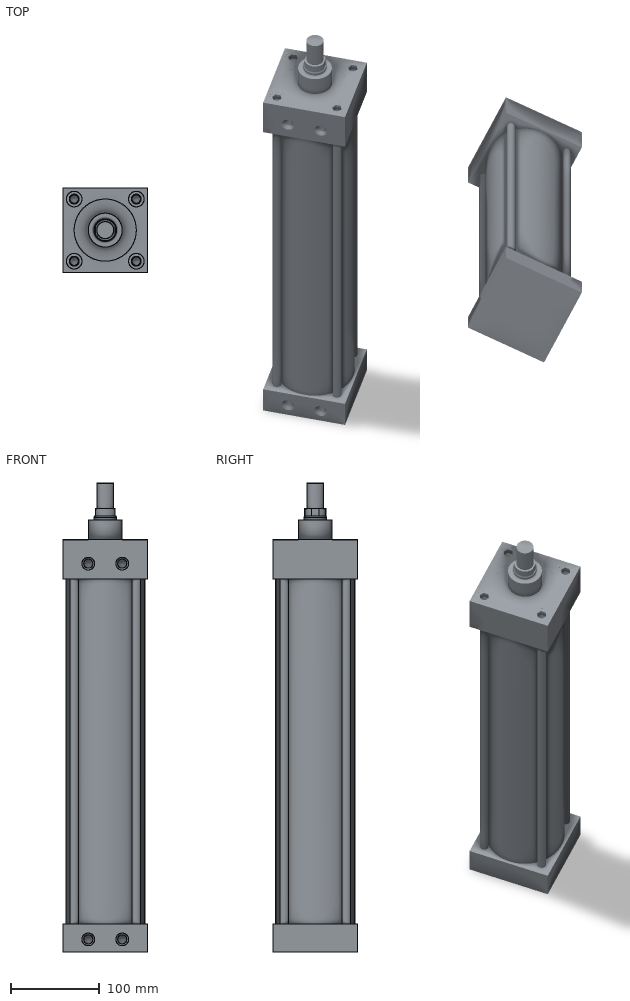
import cadquery as cq
import math

cap_width = 95.25
rear_cap_height = 31.75
barrel_length = 387.35
head_height = 44.45
boss_height = 22.225

barrel_diameter = 88.9
boss_diameter = 38.1
retainer_diameter = 69.85
retainer_recess = 0.1

tie_rod_spacing = 69.85
tie_rod_diameter = 9.525
screw_head_diameter = 17.5
screw_head_recess = 0.1
hex_across_flats = 9.525
hex_depth = 6.35
hex_countersink_angle = 120

port_spacing = 38.1
port_diameter = 14.3
port_drill_diameter = 10.3
port_depth = 12.7
port_countersink_angle = 90
drill_point_angle = 118
rear_port_height = 14.3
head_port_height = 17.5

rod_diameter = 25.4
rod_projection = 12.7
rod_embedded_length = head_height + boss_height
thread_diameter = 19.05
thread_length = 28.575
flat_spacing = 22.225
neck_diameter = 23.8125
neck_length = 8.6
rod_chamfer_height = 1.4

head_bottom = rear_cap_height + barrel_length
head_top = head_bottom + head_height
boss_top = head_top + boss_height
shoulder_top = boss_top + rod_projection


def cylinder(diameter, bottom, height):
    return cq.Workplane("XY").workplane(offset=bottom).circle(diameter / 2).extrude(height)


def square_block(bottom, height):
    return cq.Workplane("XY").workplane(offset=bottom).rect(cap_width, cap_width).extrude(height)


def cone_height(diameter, included_angle):
    return diameter / 2 / math.tan(math.radians(included_angle / 2))


def port(x, z):
    """Countersunk, drilled port with a conical end, entering from the -Y side."""
    countersink_depth = cone_height(port_diameter - port_drill_diameter, port_countersink_angle)
    profile = (
        cq.Workplane("XY")
        .moveTo(0, 0)
        .lineTo(port_diameter / 2, 0)
        .lineTo(port_drill_diameter / 2, countersink_depth)
        .lineTo(port_drill_diameter / 2, port_depth)
        .lineTo(0, port_depth + cone_height(port_drill_diameter, drill_point_angle))
        .close()
    )
    drill = profile.revolve(360, (0, 0, 0), (0, 1, 0))
    return drill.translate((x, -cap_width / 2, z))


def drill_cone(diameter, included_angle, top):
    """Cone pointing down from its base circle at the given level."""
    height = cone_height(diameter, included_angle)
    base_center = cq.Vector(0, 0, top)
    downward = cq.Vector(0, 0, -1)
    return cq.Workplane(cq.Solid.makeCone(diameter / 2, 0, height, base_center, downward))


def screw_recess(x, y):
    """Shallow round recess over a screw head, with a countersunk hex socket that ends in a drill point."""
    head_level = head_top - screw_head_recess
    socket_bottom = head_level - hex_depth
    hex_across_corners = hex_across_flats / math.cos(math.pi / 6)
    recess = cylinder(screw_head_diameter, head_level, screw_head_recess)
    socket = (
        cq.Workplane("XY")
        .workplane(offset=socket_bottom)
        .polygon(6, hex_across_corners)
        .extrude(hex_depth)
    )
    countersink = drill_cone(hex_across_corners, hex_countersink_angle, head_level)
    point = drill_cone(hex_across_flats, drill_point_angle, socket_bottom)
    return recess.union(socket).union(countersink).union(point).translate((x, y, 0))


def tie_rods():
    return (
        cq.Workplane("XY")
        .workplane(offset=rear_cap_height)
        .rect(tie_rod_spacing, tie_rod_spacing, forConstruction=True)
        .vertices()
        .circle(tie_rod_diameter / 2)
        .extrude(barrel_length)
    )


def make_housing():
    housing = square_block(0, rear_cap_height)
    housing = housing.union(cylinder(barrel_diameter, rear_cap_height, barrel_length))
    housing = housing.union(tie_rods())
    housing = housing.union(square_block(head_bottom, head_height))
    for x in (-tie_rod_spacing / 2, tie_rod_spacing / 2):
        for y in (-tie_rod_spacing / 2, tie_rod_spacing / 2):
            housing = housing.cut(screw_recess(x, y))
    housing = housing.cut(cylinder(retainer_diameter, head_top - retainer_recess, retainer_recess))
    housing = housing.union(cylinder(boss_diameter, head_bottom, rod_embedded_length))
    for z in (rear_port_height, head_bottom + head_port_height):
        for x in (-port_spacing / 2, port_spacing / 2):
            housing = housing.cut(port(x, z))
    return housing.cut(cylinder(rod_diameter, head_bottom, rod_embedded_length))


def make_piston_rod():
    neck_bottom = shoulder_top - neck_length
    rod = cylinder(rod_diameter, head_bottom, neck_bottom - head_bottom)
    rod = rod.faces(">Z").chamfer(rod_chamfer_height, (rod_diameter - neck_diameter) / 2)
    neck = cylinder(neck_diameter, neck_bottom, neck_length)
    between_flats = (
        cq.Workplane("XY")
        .workplane(offset=neck_bottom)
        .rect(flat_spacing, rod_diameter)
        .extrude(neck_length)
    )
    rod = rod.union(neck.intersect(between_flats))
    return rod.union(cylinder(thread_diameter, shoulder_top, thread_length))


housing = make_housing()
piston_rod = make_piston_rod()

result = cq.Compound.makeCompound([housing.val(), piston_rod.val()])